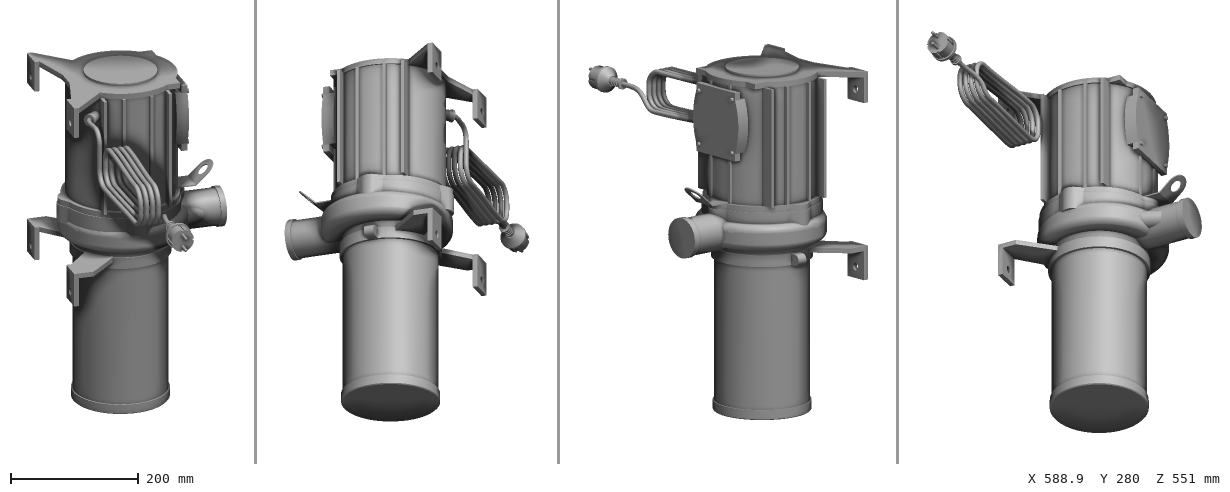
import cadquery as cq
import math


canister_radius = 75
rim_radius = 77.5
rim_height = 16
rim_chamfer = 1.5
clamp_bottom = 247
clamp_top = 265.5
neck_radius = 77.5

volute_radius = 103.3
volute_center = (-3.5, 5)
volute_bottom = 277
volute_top = 320
volute_fillet = 13.5

flange_radius = 95
flange_bottom = 308.5
flange_step = 338
flange_top = 347.5
flange_step_inset = 1.5
lug_reach = 104.5
lug_tip_half = 10
lug_tip_bulge = 3
lug_root_half = 22
lug_count = 4

outlet_z = 300
outlet_end_y = 165
outlet_radius = 60.3 / 2
outlet_bead_radius = 64.5 / 2
outlet_bead_length = 9.5
gusset_radius = 15
gusset_start = (36, 75, outlet_z)
gusset_end = (17, 122, outlet_z)

eye_half_width = 20
eye_hole_diameter = 20
eye_sheet = 2
eye_start_y = 85
eye_bend_y = 118
eye_slope_length = 25
eye_angle = 42

motor_radius = 86.5
motor_top = 538
fin_reach = 89.5
fin_thickness = 5
fin_offsets = (-53.5, -22.5, 22.5, 53.5)
rear_fin_offsets = (-22.5, 22.5)
cap_radius = 115.53 / 2
cap_top = 551

box_z = 476
box_half_width = 47
box_bulge_half_width = 55
box_height = 110
box_bulge_height = 86
box_inner_y = 75
box_lid_y = 85
box_outer_y = 95
box_screw_diameter = 7
box_screw_head = 4
box_screw_x = 40

gland_angle = -45
gland_z = 504.5
gland_start = 75
gland_end = 107
gland_nut_length = 4
gland_radius = 17.53 / 2
gland_nut_radius = 20 / 2
gland_heading = (math.cos(math.radians(gland_angle)), math.sin(math.radians(gland_angle)), 0)
gland_tip = (gland_end * gland_heading[0], gland_end * gland_heading[1], gland_z)

tab_outer_x = 120
tab_inner_x = 80
tab_back_y = -115
tab_thickness = 8
tab_hole_diameter = 12
tab_hole_x = (tab_outer_x + tab_inner_x) / 2
tab_front_y = tab_back_y + tab_thickness

upper_top = 547
upper_plate_thickness = upper_top - motor_top
upper_plate_radius = 89.5
upper_tab_height = 50
upper_hole_drop = 31.5
ear_half_width = 71
ear_y = 75
leg_root = (69, -55.5)
leg_inner = (18, -89.5)

lower_top = 267
lower_arm_thickness = 8
lower_tab_height = 55
lower_hole_drop = 37
clamp_radius = 80
arm_side_y = -83
arm_outer_root = (70, -33)
arm_inner_root = (35, -68)
clamp_lug_width = 16
clamp_lug_reach = 98

cable_radius = 8.09 / 2
coil_left_x = 131
coil_right_x = 324.5
coil_start_y = -77
coil_bottom_z = 420.5
coil_top_z = 482.5
coil_right_drop = 3
coil_corner = 25
coil_turns = 4
coil_bottom_step = 5
coil_top_step = 4.7
lead_bend = 20
exit_angle = 50

cord_straight = 10
plug_y = -44
plug_z = 444
relief_start_x = 388
relief_collar = 4
relief_collar_radius = 17.53 / 2
relief_radius = 7
relief_groove_radius = 5.5
relief_groove_width = 2.5
relief_groove_pitch = 6
relief_grooves = 3
cone_start_x = 414
cone_start_radius = 17 / 2
rim_start_x = 426.5
rim_end_x = 431.5
plug_rim_radius = 41.5 / 2
plug_body_radius = 37 / 2
plug_body_end_x = 451
plug_keyway_width = 4
plug_keyway_depth = 2
plug_keyway_count = 4
pin_radius = 5 / 2
pin_offset = 9.8
pin_end_x = 468.86
pin_chamfer = 1


def disc(radius, bottom, top):
    return cq.Workplane("XY", origin=(0, 0, bottom)).circle(radius).extrude(top - bottom)


def block(x_range, y_range, z_range):
    corner = cq.Vector(x_range[0], y_range[0], z_range[0])
    size = (x_range[1] - x_range[0], y_range[1] - y_range[0], z_range[1] - z_range[0])
    return cq.Workplane(cq.Solid.makeBox(*size, pnt=corner))


def x_rod(radius, x_start, x_end, y, z):
    return cq.Workplane("YZ", origin=(x_start, y, z)).circle(radius).extrude(x_end - x_start)


def y_rod(radius, y_start, y_end, x, z):
    return cq.Workplane("XZ", origin=(x, y_start, z)).circle(radius).extrude(y_start - y_end)


def mirrored(points):
    """Close a right-hand half outline with its mirror image about X = 0."""
    return points + [(-x, y) for x, y in reversed(points)]


def make_canister():
    rim = disc(rim_radius, 0, rim_height).faces("<Z").chamfer(rim_chamfer)
    wall = disc(canister_radius, rim_height, clamp_top)
    neck = disc(neck_radius, clamp_top, volute_bottom)
    return rim.union(wall).union(neck)


def make_volute():
    inner = volute_radius - volute_fillet
    diagonal = volute_fillet * math.sqrt(0.5)
    low_z = volute_bottom + volute_fillet
    high_z = volute_top - volute_fillet
    casing = (
        cq.Workplane("XZ", origin=(*volute_center, 0))
        .moveTo(0, volute_bottom)
        .lineTo(inner, volute_bottom)
        .threePointArc((inner + diagonal, low_z - diagonal), (volute_radius, low_z))
        .lineTo(volute_radius, high_z)
        .threePointArc((inner + diagonal, high_z + diagonal), (inner, volute_top))
        .lineTo(0, volute_top)
        .close()
        .revolve(360, (0, 0, 0), (0, 1, 0))
    )
    tube = y_rod(outlet_radius, 0, outlet_end_y, 0, outlet_z)
    bead = y_rod(outlet_bead_radius, outlet_end_y - outlet_bead_length, outlet_end_y, 0, outlet_z)
    gusset_axis = cq.Vector(*gusset_end) - cq.Vector(*gusset_start)
    gusset = cq.Solid.makeCylinder(gusset_radius, gusset_axis.Length, cq.Vector(*gusset_start), gusset_axis)
    return casing.union(tube).union(bead).union(cq.Workplane(gusset))


def make_flange_layer(bottom, top, inset):
    layer = disc(flange_radius - inset, bottom, top)
    root_x = flange_radius * math.cos(math.asin(lug_root_half / flange_radius)) - inset
    tip_x = lug_reach - inset
    shoulder_x = tip_x - lug_tip_bulge
    for index in range(lug_count):
        lug = (
            cq.Workplane("XY", origin=(0, 0, bottom))
            .moveTo(0, -lug_root_half)
            .lineTo(root_x, -lug_root_half)
            .lineTo(shoulder_x, -lug_tip_half)
            .threePointArc((tip_x, 0), (shoulder_x, lug_tip_half))
            .lineTo(root_x, lug_root_half)
            .lineTo(0, lug_root_half)
            .close()
            .extrude(top - bottom)
            .rotate((0, 0, 0), (0, 0, 1), index * 360 / lug_count)
        )
        layer = layer.union(lug)
    return layer


def make_flange():
    lower = make_flange_layer(flange_bottom, flange_step, 0)
    upper = make_flange_layer(flange_step, flange_top, flange_step_inset)
    return lower.union(upper)


def make_lifting_eye():
    foot = block(
        (-eye_half_width, eye_half_width), (eye_start_y, eye_bend_y), (flange_top, flange_top + eye_sheet)
    )
    slope = (
        cq.Workplane("XY")
        .moveTo(-eye_half_width, 0)
        .lineTo(eye_half_width, 0)
        .lineTo(eye_half_width, eye_slope_length)
        .threePointArc((0, eye_slope_length + eye_half_width), (-eye_half_width, eye_slope_length))
        .close()
        .extrude(eye_sheet)
        .cut(cq.Workplane("XY").center(0, eye_slope_length).circle(eye_hole_diameter / 2).extrude(eye_sheet))
        .rotate((0, 0, 0), (1, 0, 0), eye_angle)
        .translate((0, eye_bend_y, flange_top))
    )
    return foot.union(slope)


def make_motor():
    body = disc(motor_radius, flange_top, motor_top)
    for offset in fin_offsets:
        y_range = (offset - fin_thickness / 2, offset + fin_thickness / 2)
        body = body.union(block((-fin_reach, fin_reach), y_range, (flange_top, motor_top)))
    for offset in rear_fin_offsets:
        x_range = (offset - fin_thickness / 2, offset + fin_thickness / 2)
        body = body.union(block(x_range, (0, motor_radius), (flange_top, motor_top)))
    return body.union(disc(cap_radius, motor_top, cap_top))


def make_terminal_box():
    half_height = box_height / 2
    bulge_half = box_bulge_height / 2
    lid = block(
        (-box_half_width, box_half_width),
        (box_lid_y, box_outer_y),
        (box_z - half_height, box_z + half_height),
    )
    bulged_body = (
        cq.Workplane("XZ", origin=(0, box_outer_y, box_z))
        .moveTo(-box_half_width, -bulge_half)
        .lineTo(box_half_width, -bulge_half)
        .threePointArc((box_bulge_half_width, 0), (box_half_width, bulge_half))
        .lineTo(-box_half_width, bulge_half)
        .threePointArc((-box_bulge_half_width, 0), (-box_half_width, -bulge_half))
        .close()
        .extrude(box_outer_y - box_inner_y)
    )
    box = lid.union(bulged_body)
    for x in (-box_screw_x, box_screw_x):
        for z in (box_z - bulge_half, box_z + bulge_half):
            screw = y_rod(box_screw_diameter / 2, box_outer_y, box_outer_y + box_screw_head, x, z)
            box = box.union(screw)
    return box


def make_gland():
    barrel = x_rod(gland_radius, gland_start, gland_end, 0, gland_z)
    nut = x_rod(gland_nut_radius, gland_end - gland_nut_length, gland_end, 0, gland_z)
    return barrel.union(nut).rotate((0, 0, 0), (0, 0, 1), gland_angle)


def make_pump():
    pump = make_canister()
    pump = pump.union(make_volute())
    pump = pump.union(make_flange())
    pump = pump.union(make_lifting_eye())
    pump = pump.union(make_motor())
    pump = pump.union(make_terminal_box())
    pump = pump.union(make_gland())
    return pump


def make_tabs(top, height, hole_drop):
    """The pair of drilled wall tabs that hang down from a bracket."""
    tabs = cq.Workplane("XY")
    for side in (-1, 1):
        x_range = sorted((side * tab_inner_x, side * tab_outer_x))
        tab = block(x_range, (tab_back_y, tab_front_y), (top - height, top))
        hole = y_rod(tab_hole_diameter / 2, tab_back_y, tab_front_y, side * tab_hole_x, top - hole_drop)
        tabs = tabs.add(tab.cut(hole))
    return tabs.combine()


def make_upper_bracket():
    ears_and_legs = mirrored(
        [
            (ear_half_width, ear_y),
            (ear_half_width, leg_root[1]),
            leg_root,
            (tab_outer_x, tab_front_y),
            (tab_inner_x, tab_front_y),
            leg_inner,
        ]
    )
    plate = (
        cq.Workplane("XY", origin=(0, 0, motor_top))
        .polyline(ears_and_legs)
        .close()
        .extrude(upper_plate_thickness)
        .union(disc(upper_plate_radius, motor_top, upper_top))
        .cut(disc(cap_radius, motor_top, upper_top))
    )
    return plate.union(make_tabs(upper_top, upper_tab_height, upper_hole_drop))


def make_lower_bracket():
    clamp = disc(clamp_radius, clamp_bottom, clamp_top)
    clamp_height = clamp_top - clamp_bottom
    lug_length = clamp_lug_reach - clamp_height / 2
    half_width = clamp_lug_width / 2
    lug_bar = block((-lug_length, 0), (-half_width, half_width), (clamp_bottom, clamp_top))
    lug_nose = y_rod(
        clamp_height / 2, -half_width, half_width, -lug_length, (clamp_bottom + clamp_top) / 2
    )
    bracket = clamp.union(lug_bar).union(lug_nose)
    for side in (-1, 1):
        outline = [
            (0, 0),
            (side * arm_outer_root[0], arm_outer_root[1]),
            (side * tab_outer_x, arm_side_y),
            (side * tab_outer_x, tab_front_y),
            (side * tab_inner_x, tab_front_y),
            (side * arm_inner_root[0], arm_inner_root[1]),
        ]
        arm = (
            cq.Workplane("XY", origin=(0, 0, lower_top - lower_arm_thickness))
            .polyline(outline)
            .close()
            .extrude(lower_arm_thickness)
        )
        bracket = bracket.union(arm)
    bracket = bracket.union(make_tabs(lower_top, lower_tab_height, lower_hole_drop))
    return bracket.cut(disc(canister_radius, 0, clamp_top)).cut(disc(neck_radius, clamp_top, lower_top))


def make_cable_path():
    """Lead from the gland, a flat coil of rounded turns advancing in +Y, then a lead to the plug."""
    left_in = coil_left_x + coil_corner
    right_in = coil_right_x - coil_corner
    left_low, left_high = coil_bottom_z, coil_top_z
    right_low, right_high = coil_bottom_z - coil_right_drop, coil_top_z - coil_right_drop
    edges = []

    def line(start, end):
        edges.append(cq.Edge.makeLine(cq.Vector(*start), cq.Vector(*end)))

    def arc(center, y, radius, start_angle, end_angle):
        """Arc in a plane of constant Y; angles in degrees from +X towards +Z."""
        points = []
        for angle in (start_angle, (start_angle + end_angle) / 2, end_angle):
            turn = math.radians(angle)
            points.append(
                cq.Vector(center[0] + radius * math.cos(turn), y, center[1] + radius * math.sin(turn))
            )
        edges.append(cq.Edge.makeThreePointArc(*points))

    def curve(start, end, start_heading, end_heading):
        tangents = [cq.Vector(*start_heading), cq.Vector(*end_heading)]
        edges.append(cq.Edge.makeSpline([cq.Vector(*start), cq.Vector(*end)], tangents=tangents))

    right, left = (1, 0, 0), (-1, 0, 0)
    y = coil_start_y
    lead_turn = (coil_left_x - lead_bend, gland_z - lead_bend)
    curve(gland_tip, (lead_turn[0], y, gland_z), gland_heading, right)
    arc(lead_turn, y, lead_bend, 90, 0)
    line((coil_left_x, y, lead_turn[1]), (coil_left_x, y, left_low + coil_corner))

    for _ in range(coil_turns):
        arc((left_in, left_low + coil_corner), y, coil_corner, 180, 270)
        curve((left_in, y, left_low), (right_in, y + coil_bottom_step, right_low), right, right)
        y += coil_bottom_step
        arc((right_in, right_low + coil_corner), y, coil_corner, -90, 0)
        line((coil_right_x, y, right_low + coil_corner), (coil_right_x, y, right_high - coil_corner))
        arc((right_in, right_high - coil_corner), y, coil_corner, 0, 90)
        curve((right_in, y, right_high), (left_in, y + coil_top_step, left_high), left, left)
        y += coil_top_step
        arc((left_in, left_high - coil_corner), y, coil_corner, 90, 180)
        line((coil_left_x, y, left_high - coil_corner), (coil_left_x, y, left_low + coil_corner))

    arc((left_in, left_low + coil_corner), y, coil_corner, 180, 270)
    curve((left_in, y, left_low), (right_in, y + coil_bottom_step, right_low), right, right)
    y += coil_bottom_step
    arc((right_in, right_low + coil_corner), y, coil_corner, -90, -90 + exit_angle)
    exit_turn = math.radians(exit_angle)
    exit_point = (
        right_in + coil_corner * math.sin(exit_turn),
        y,
        right_low + coil_corner * (1 - math.cos(exit_turn)),
    )
    straight_start = (relief_start_x - cord_straight, plug_y, plug_z)
    curve(exit_point, straight_start, (math.cos(exit_turn), 0, math.sin(exit_turn)), right)
    line(straight_start, (relief_start_x, plug_y, plug_z))
    return cq.Wire.assembleEdges(edges)


def make_plug():
    shell = (
        cq.Workplane("XY")
        .moveTo(relief_start_x, 0)
        .lineTo(relief_start_x, relief_collar_radius)
        .lineTo(relief_start_x + relief_collar, relief_collar_radius)
        .lineTo(relief_start_x + relief_collar, relief_radius)
        .lineTo(cone_start_x, relief_radius)
        .lineTo(cone_start_x, cone_start_radius)
        .lineTo(rim_start_x, plug_rim_radius)
        .lineTo(rim_end_x, plug_rim_radius)
        .lineTo(rim_end_x, plug_body_radius)
        .lineTo(plug_body_end_x, plug_body_radius)
        .lineTo(plug_body_end_x, 0)
        .close()
        .revolve(360, (0, 0, 0), (1, 0, 0))
    )
    for index in range(relief_grooves):
        start = relief_start_x + relief_collar + relief_groove_width + index * relief_groove_pitch
        groove = x_rod(relief_radius, start, start + relief_groove_width, 0, 0)
        core = x_rod(relief_groove_radius, start, start + relief_groove_width, 0, 0)
        shell = shell.cut(groove.cut(core))
    half_keyway = plug_keyway_width / 2
    keyway_floor = plug_body_radius - plug_keyway_depth
    keyway = block(
        (rim_end_x, plug_body_end_x), (keyway_floor, plug_rim_radius), (-half_keyway, half_keyway)
    )
    for index in range(plug_keyway_count):
        shell = shell.cut(keyway.rotate((0, 0, 0), (1, 0, 0), index * 360 / plug_keyway_count))
    for side in (-1, 1):
        pin = x_rod(pin_radius, plug_body_end_x, pin_end_x, 0, side * pin_offset)
        shell = shell.union(pin.faces(">X").chamfer(pin_chamfer))
    return shell.translate((0, plug_y, plug_z))


def make_power_cord():
    start = cq.Plane(origin=gland_tip, normal=gland_heading)
    cable = cq.Workplane(start).circle(cable_radius).sweep(cq.Workplane(make_cable_path()))
    return cable.union(make_plug())


pump = make_pump()
upper_bracket = make_upper_bracket()
lower_bracket = make_lower_bracket()
power_cord = make_power_cord()

bodies = (pump, upper_bracket, lower_bracket, power_cord)
result = cq.Compound.makeCompound([body.solids().val() for body in bodies])